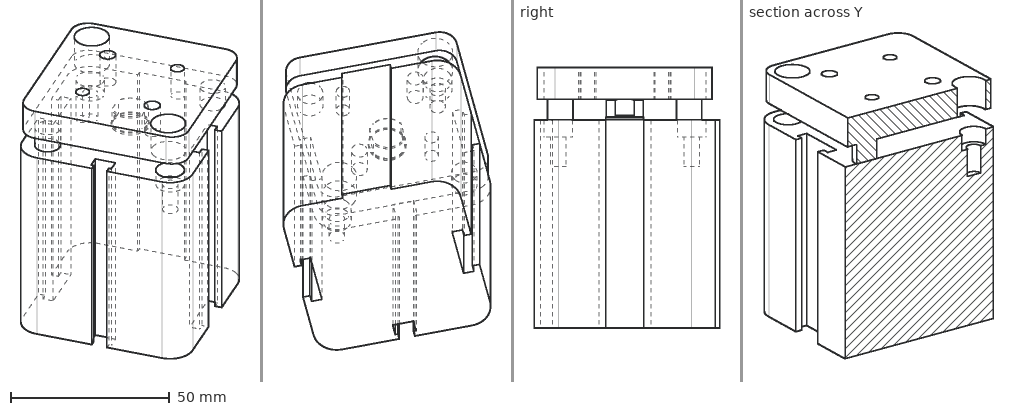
import cadquery as cq

OVERALL_HEIGHT = 82.0
HOUSING_WIDTH = 57.0
HOUSING_HEIGHT = 65.5
HOUSING_CORNER_RADIUS = 7.55

PAD_WIDTH = 15.6
PAD_THICKNESS = 1.5

SLOT_DEPTH = 5.65
SIDE_SLOT_MOUTH = 12.0
SIDE_SLOT_CHANNEL = 16.4
SIDE_SLOT_LIP = 2.3
FRONT_SLOT_MOUTH = 5.0
FRONT_SLOT_CHANNEL = 6.7
FRONT_SLOT_LIP = 2.0

BOLT_OFFSET = 21.0
BOLT_HOLE_DIAMETER = 4.9
BOLT_HOLE_DEPTH = 14.5
COUNTERBORE_DIAMETER = 9.0
COUNTERBORE_DEPTH = 5.25

PLATE_WIDTH = 55.0
PLATE_THICKNESS = 10.0
PLATE_CORNER_RADIUS = 5.6
ACCESS_HOLE_DIAMETER = 11.0
ACCESS_HOLE_OFFSET = 20.0
MOUNTING_OFFSET = 11.65
PIN_HOLE_DIAMETER = 5.0
THREAD_HOLE_DIAMETER = 4.3

GUIDE_ROD_DIAMETER = 8.0
GUIDE_ROD_OFFSET = 20.25
PISTON_ROD_DIAMETER = 11.7
PISTON_FLAT_WIDTH = 10.1
FLAT_START_HEIGHT = 1.4
COLLAR_DIAMETER = 12.0
COLLAR_HEIGHT = 1.0
PISTON_CHAMFER = 0.3

PLATE_BOTTOM = OVERALL_HEIGHT - PLATE_THICKNESS
ROD_LENGTH = PLATE_BOTTOM - HOUSING_HEIGHT

RISING_DIAGONAL = [(-1, -1), (1, 1)]
FALLING_DIAGONAL = [(-1, 1), (1, -1)]


def diagonal_points(signs, offset):
    return [(sx * offset, sy * offset) for sx, sy in signs]


def rounded_block(width, height, corner_radius, bottom):
    block = cq.Workplane("XY").workplane(offset=bottom).rect(width, width).extrude(height)
    return block.edges("|Z").fillet(corner_radius)


def t_slot(mouth, channel, lip_thickness):
    """Full-height cutter for a T-slot in the -Y side of the housing."""
    surface = -HOUSING_WIDTH / 2
    lip = surface + lip_thickness
    back = surface + SLOT_DEPTH
    return (
        cq.Workplane("XY")
        .moveTo(-mouth / 2, surface)
        .lineTo(-mouth / 2, lip)
        .lineTo(-channel / 2, lip)
        .lineTo(-channel / 2, back)
        .lineTo(channel / 2, back)
        .lineTo(channel / 2, lip)
        .lineTo(mouth / 2, lip)
        .lineTo(mouth / 2, surface)
        .close()
        .extrude(HOUSING_HEIGHT)
    )


def make_housing():
    housing = rounded_block(HOUSING_WIDTH, HOUSING_HEIGHT, HOUSING_CORNER_RADIUS, 0)

    pad = (
        cq.Workplane("XY")
        .center(0, (HOUSING_WIDTH + PAD_THICKNESS) / 2)
        .rect(PAD_WIDTH, PAD_THICKNESS)
        .extrude(HOUSING_HEIGHT)
    )
    housing = housing.union(pad)

    housing = housing.cut(t_slot(FRONT_SLOT_MOUTH, FRONT_SLOT_CHANNEL, FRONT_SLOT_LIP))
    side_slot = t_slot(SIDE_SLOT_MOUTH, SIDE_SLOT_CHANNEL, SIDE_SLOT_LIP)
    for angle in (-90, 90):
        housing = housing.cut(side_slot.rotate((0, 0, 0), (0, 0, 1), angle))

    return (
        housing.faces(">Z")
        .workplane(origin=(0, 0, HOUSING_HEIGHT))
        .pushPoints(diagonal_points(FALLING_DIAGONAL, BOLT_OFFSET))
        .cboreHole(BOLT_HOLE_DIAMETER, COUNTERBORE_DIAMETER, COUNTERBORE_DEPTH, BOLT_HOLE_DEPTH)
    )


def make_plate():
    plate = rounded_block(PLATE_WIDTH, PLATE_THICKNESS, PLATE_CORNER_RADIUS, PLATE_BOTTOM)
    hole_pairs = [
        (FALLING_DIAGONAL, ACCESS_HOLE_OFFSET, ACCESS_HOLE_DIAMETER),
        (FALLING_DIAGONAL, MOUNTING_OFFSET, PIN_HOLE_DIAMETER),
        (RISING_DIAGONAL, MOUNTING_OFFSET, THREAD_HOLE_DIAMETER),
    ]
    for signs, offset, diameter in hole_pairs:
        plate = (
            plate.faces(">Z")
            .workplane(origin=(0, 0, OVERALL_HEIGHT))
            .pushPoints(diagonal_points(signs, offset))
            .hole(diameter)
        )
    return plate


def make_guide_rods():
    return (
        cq.Workplane("XY")
        .workplane(offset=HOUSING_HEIGHT)
        .pushPoints(diagonal_points(RISING_DIAGONAL, GUIDE_ROD_OFFSET))
        .circle(GUIDE_ROD_DIAMETER / 2)
        .extrude(ROD_LENGTH)
    )


def make_piston_rod():
    """Round rod with a chamfered top and two flats, rising from a collar that tapers into it."""
    rod_radius = PISTON_ROD_DIAMETER / 2
    collar_radius = COLLAR_DIAMETER / 2
    rod = (
        cq.Workplane("XZ")
        .moveTo(0, 0)
        .lineTo(collar_radius, 0)
        .lineTo(collar_radius, COLLAR_HEIGHT - PISTON_CHAMFER)
        .lineTo(rod_radius, COLLAR_HEIGHT)
        .lineTo(rod_radius, ROD_LENGTH - PISTON_CHAMFER)
        .lineTo(rod_radius - PISTON_CHAMFER, ROD_LENGTH)
        .lineTo(0, ROD_LENGTH)
        .close()
        .revolve(360, (0, 0, 0), (0, 1, 0))
    )

    flat_cut = (COLLAR_DIAMETER - PISTON_FLAT_WIDTH) / 2
    for side in (-1, 1):
        cutter = (
            cq.Workplane("XY")
            .workplane(offset=FLAT_START_HEIGHT)
            .center(side * (PISTON_FLAT_WIDTH + flat_cut) / 2, 0)
            .rect(flat_cut, COLLAR_DIAMETER)
            .extrude(ROD_LENGTH)
        )
        rod = rod.cut(cutter)
    return rod.translate((0, 0, HOUSING_HEIGHT))


def make_yoke():
    """Plate with its guide rods and piston rod, standing on top of the housing."""
    return make_plate().union(make_guide_rods()).union(make_piston_rod())


housing = make_housing()
yoke = make_yoke()

result = cq.Compound.makeCompound([housing.val(), yoke.val()])